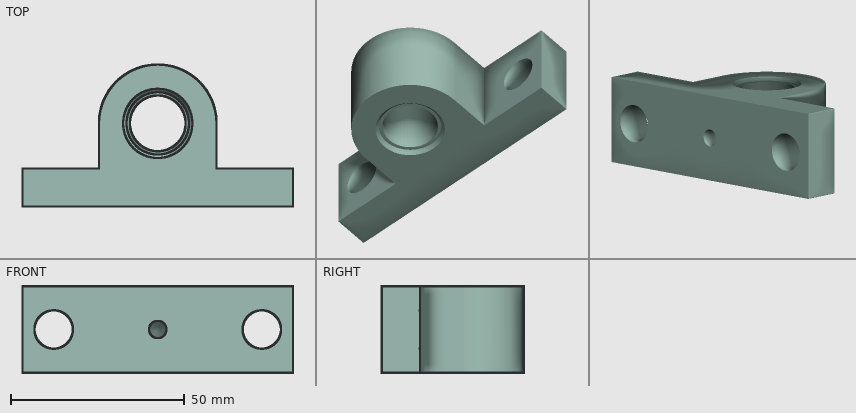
import cadquery as cq
import math

plate_length = 78.0
plate_thickness = 11.0
height = 25.0
corner_radius = 0.1

lug_radius = 17.0
bore_offset = 24.0

bush_inner_diameter = 16.0
bush_outer_diameter = 18.0
mouth_chamfer = 1.0
bush_recess = 1.2

mounting_hole_diameter = 11.0
mounting_hole_spacing = 60.0
drill_hole_diameter = 5.0
drill_hole_depth = 10.0
drill_point_angle = 140.0


def make_plate():
    """Flat bar with the edges along Y slightly rounded."""
    plate = cq.Workplane("XY").box(plate_length, plate_thickness, height, centered=(True, False, True))
    return plate.edges("|Y").fillet(corner_radius)


def make_lug():
    """Block that starts inside the plate and ends in a half round."""
    return (
        cq.Workplane("XY", origin=(0, 0, -height / 2))
        .moveTo(-lug_radius, plate_thickness / 2)
        .lineTo(lug_radius, plate_thickness / 2)
        .lineTo(lug_radius, bore_offset)
        .threePointArc((0, bore_offset + lug_radius), (-lug_radius, bore_offset))
        .close()
        .extrude(height)
    )


def make_bore_cutter():
    """Half profile in radius and Z, revolved about the bore axis."""
    inner_radius = bush_inner_diameter / 2
    outer_radius = bush_outer_diameter / 2
    mouth_radius = outer_radius + mouth_chamfer
    end = height / 2
    profile = [
        (0, -end),
        (mouth_radius, -end),
        (outer_radius, -end + mouth_chamfer),
        (outer_radius, -end + bush_recess),
        (inner_radius, -end + bush_recess),
        (inner_radius, end - bush_recess),
        (outer_radius, end - bush_recess),
        (outer_radius, end - mouth_chamfer),
        (mouth_radius, end),
        (0, end),
    ]
    cutter = cq.Workplane("XZ").polyline(profile).close().revolve(360, (0, 0), (0, 1))
    return cutter.translate((0, bore_offset, 0))


def make_mounting_hole_cutters():
    """Through holes at both ends of the plate."""
    return (
        cq.Workplane("XZ")
        .rarray(mounting_hole_spacing, 1, 2, 1)
        .circle(mounting_hole_diameter / 2)
        .extrude(-plate_thickness)
    )


def make_drill_hole_cutter():
    """Blind hole in the middle of the front face, with a conical drill point."""
    radius = drill_hole_diameter / 2
    point_length = radius / math.tan(math.radians(drill_point_angle / 2))
    return (
        cq.Workplane("XY")
        .polyline([(0, 0), (radius, 0), (radius, drill_hole_depth), (0, drill_hole_depth + point_length)])
        .close()
        .revolve(360, (0, 0), (0, 1))
    )


result = (
    make_plate()
    .union(make_lug())
    .cut(make_bore_cutter())
    .cut(make_mounting_hole_cutters())
    .cut(make_drill_hole_cutter())
)